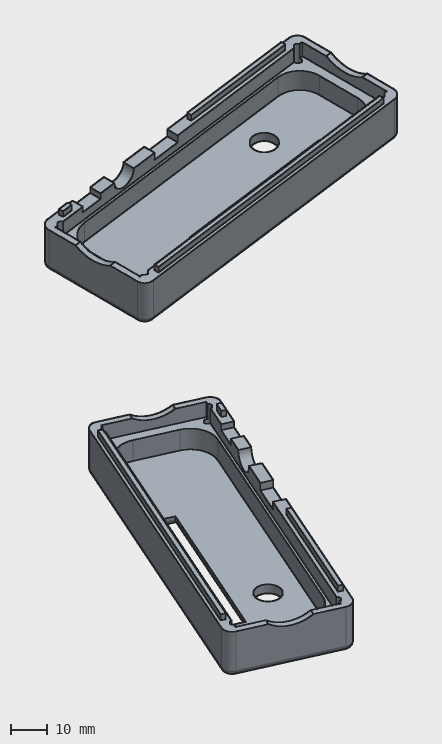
import cadquery as cq
import math

length = 105.0
width = 38.0
total_height = 17.0
lip_height = 2.0
body_height = total_height - lip_height
corner_radius = 3.0
bottom_fillet = 2.0

side_wall = 3.8
end_wall = 2.0
ledge_depth = 5.0
ledge_z = body_height - ledge_depth
cavity_width = width - 2 * side_wall
cavity_length = length - 2 * end_wall

floor_thickness = 3.0
pocket_length = 95.1
pocket_corner_radius = 8.0
pocket_x_min = -14.4
pocket_x_max = cavity_width / 2

window_width = 9.5
window_y_min = -19.3
window_y_max = 33.5
window_edge_radius = 2.0
button_diameter = 8.0
button_center = (-4.7, 23.1)

screw_diameter = 2.3
screw_x = 14.9
screw_y = 48.4

lip_width = 1.5
lip_center_x = 17.2
lip_y_min = -46.0
right_lip_y_max = 46.2
left_lip_y_max = 45.2
left_lip_break = (-42.4, 6.5)

square_notches = [(-9.9, -0.4, 2.5), (-39.3, -32.0, 2.0)]
round_notch_diameter = 8.0
round_notch_y = -22.4

scoop_radius = 11.5
rear_scoop_chord = 13.0
front_scoop_chord = 12.5


def block(x_min, x_max, y_min, y_max, z_min, z_max):
    """Box given by its limits along each axis."""
    size = (x_max - x_min, y_max - y_min, z_max - z_min)
    return cq.Workplane("XY").box(*size, centered=False).translate((x_min, y_min, z_min))


def vertical_cylinder(x, y, diameter):
    """Cylinder through the full height of the body."""
    return cq.Workplane("XY").center(x, y).circle(diameter / 2).extrude(body_height)


def make_body():
    body = cq.Workplane("XY").rect(width, length).extrude(body_height)
    return body.edges("|Z").fillet(corner_radius).faces("<Z").edges().fillet(bottom_fillet)


def make_interior():
    """Cavity plus the pocket, whose right side is flush with the cavity wall."""
    cavity = cq.Workplane("XY").rect(cavity_width, cavity_length).extrude(body_height)
    pocket = block(
        pocket_x_min, pocket_x_max, -pocket_length / 2, pocket_length / 2, floor_thickness, ledge_z
    )
    pocket = pocket.edges("|Z").fillet(pocket_corner_radius)
    return cavity.translate((0, 0, ledge_z)).union(pocket)


def make_floor_window():
    """Window along the right wall: lower edges rounded over, bevelled below the wall.

    The lengthwise and crosswise sections intersect, so the flared edges meet in mitres.
    """
    radius = window_edge_radius
    arc_offset = radius * (1 - math.cos(math.radians(45)))
    x_max = cavity_width / 2
    x_min = x_max - window_width
    bevel_end = width / 2 - bottom_fillet

    across = (
        cq.Workplane("XZ", origin=(0, length / 2, 0))
        .moveTo(x_min - radius, 0)
        .threePointArc((x_min - arc_offset, arc_offset), (x_min, radius))
        .lineTo(x_min, floor_thickness)
        .lineTo(x_max, floor_thickness)
        .lineTo(x_max, radius)
        .lineTo(bevel_end, 0)
        .close()
        .extrude(length)
    )
    along = (
        cq.Workplane("YZ", origin=(-width / 2, 0, 0))
        .moveTo(window_y_min - radius, 0)
        .threePointArc((window_y_min - arc_offset, arc_offset), (window_y_min, radius))
        .lineTo(window_y_min, floor_thickness)
        .lineTo(window_y_max, floor_thickness)
        .lineTo(window_y_max, radius)
        .threePointArc((window_y_max + arc_offset, arc_offset), (window_y_max + radius, 0))
        .close()
        .extrude(width)
    )
    return across.intersect(along)


def make_lip(side, y_min, y_max):
    """Rim lip on the left (side = -1) or right (side = 1) wall."""
    x = side * lip_center_x
    return block(x - lip_width / 2, x + lip_width / 2, y_min, y_max, body_height, total_height)


def make_square_notch(y_min, y_max, depth):
    return block(-width / 2, -cavity_width / 2, y_min, y_max, body_height - depth, body_height)


def make_round_notch():
    return (
        cq.Workplane("YZ", origin=(-width / 2, round_notch_y, body_height))
        .circle(round_notch_diameter / 2)
        .extrude(side_wall)
    )


def make_scoop(y_start, chord):
    """Shallow round dip through one end wall; chord is its width at the rim."""
    axis_height = body_height + math.sqrt(scoop_radius**2 - (chord / 2) ** 2)
    return (
        cq.Workplane("XZ", origin=(0, y_start + end_wall, axis_height))
        .circle(scoop_radius)
        .extrude(end_wall)
    )


result = make_body().cut(make_interior()).cut(make_floor_window())
result = result.cut(vertical_cylinder(*button_center, button_diameter))
for x in (-screw_x, screw_x):
    for y in (-screw_y, screw_y):
        result = result.cut(vertical_cylinder(x, y, screw_diameter))

for y_min, y_max, depth in square_notches:
    result = result.cut(make_square_notch(y_min, y_max, depth))
result = result.cut(make_round_notch())
result = result.cut(make_scoop(-length / 2, front_scoop_chord))
result = result.cut(make_scoop(length / 2 - end_wall, rear_scoop_chord))

result = result.union(make_lip(1, lip_y_min, right_lip_y_max))
result = result.union(make_lip(-1, lip_y_min, left_lip_break[0]))
result = result.union(make_lip(-1, left_lip_break[1], left_lip_y_max))